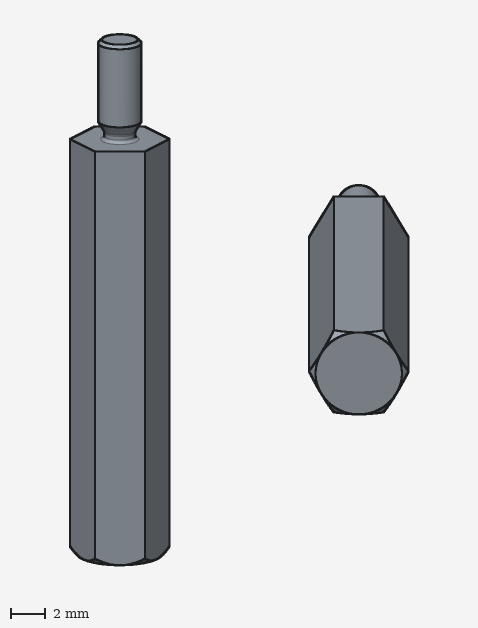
import cadquery as cq
import math

total_height = 31.0
across_flats = 5.0
stud_length = 6.0
stud_diameter = 2.5
stud_tip_chamfer = 0.22
neck_diameter = 1.8
neck_fillet = 0.2
relief_length = 1.1
relief_cone_angle = 30.0
foot_chamfer_angle = 45.0

body_height = total_height - stud_length
across_corners = across_flats / math.cos(math.radians(30))
stud_radius = stud_diameter / 2
neck_radius = neck_diameter / 2
relief_cone_height = (stud_radius - neck_radius) / math.tan(math.radians(relief_cone_angle))


def hexagonal_body():
    """Hexagonal bar with two corners on the X axis."""
    return cq.Workplane("XY").polygon(6, across_corners).extrude(body_height)


def foot_envelope():
    """Round envelope whose conical foot trims the hexagon's bottom corners."""
    foot_radius = across_flats / 2
    corner_radius = across_corners / 2
    cone_height = (corner_radius - foot_radius) * math.tan(math.radians(foot_chamfer_angle))
    return (
        cq.Workplane("XZ")
        .moveTo(0, 0)
        .lineTo(foot_radius, 0)
        .lineTo(corner_radius, cone_height)
        .lineTo(corner_radius, body_height)
        .lineTo(0, body_height)
        .close()
        .revolve(360, (0, 0, 0), (0, 1, 0))
    )


def stud():
    """Stud with a chamfered tip and a filleted thread relief at its root."""
    relief_top = body_height + relief_length
    neck_top = relief_top - relief_cone_height
    root_center_x = neck_radius + neck_fillet
    root_center_z = body_height + neck_fillet
    root_mid_offset = neck_fillet * math.cos(math.radians(45))
    cone_angle = math.radians(relief_cone_angle)
    tangent_length = neck_fillet * math.tan(cone_angle / 2)
    upper_center_z = neck_top - tangent_length

    def upper_fillet_point(angle):
        x = root_center_x - neck_fillet * math.cos(angle)
        z = upper_center_z + neck_fillet * math.sin(angle)
        return x, z

    return (
        cq.Workplane("XZ")
        .moveTo(0, body_height)
        .lineTo(root_center_x, body_height)
        .threePointArc(
            (root_center_x - root_mid_offset, root_center_z - root_mid_offset),
            (neck_radius, root_center_z),
        )
        .lineTo(neck_radius, upper_center_z)
        .threePointArc(upper_fillet_point(cone_angle / 2), upper_fillet_point(cone_angle))
        .lineTo(stud_radius, relief_top)
        .lineTo(stud_radius, total_height - stud_tip_chamfer)
        .lineTo(stud_radius - stud_tip_chamfer, total_height)
        .lineTo(0, total_height)
        .close()
        .revolve(360, (0, 0, 0), (0, 1, 0))
    )


result = hexagonal_body().intersect(foot_envelope()).union(stud())